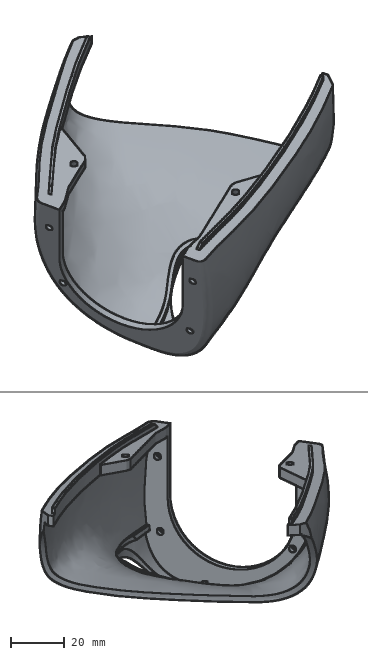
import cadquery as cq
import math

total_length = 102.9
tongue_height = 2.0
far = 154.8

headroom = 1.0
wall = 2.5
rim_width = 5.8
rim_depth = 4.2
tongue_width = 1.2
tongue_front = 5.4
tongue_ramp = 2.2
tongue_end_left = 79.1
tongue_end_right = 100.1

flange_thickness = 3.0
opening_radius = 25.8
opening_centre_z = -28.8
front_edge_round = 2.9
screw_hole_radius = 1.3
flange_holes = [(-30.1, -13.0), (29.9, -13.0), (-24.4, -43.0), (28.8, -43.3)]

pad_holes = [(-30.5, 22.5), (30.3, 36.5)]
pad_left = [(-25.8, 0), (-25.8, 4.6), (-27.4, 11.3), (-27.4, 26.0), (-28.5, 27.7), (-43.2, 36.7), (-56.7, 36.7)]
pad_right = [(25.8, 0), (25.8, 4.6), (27.4, 11.3), (27.4, 39.0), (28.3, 40.7), (35.8, 48.5), (51.6, 48.5)]

stations = [
    (0, 10.8, -64.5, (-35.6, -36.4, -9.8, 2.38), (34.0, 37.1, -28.9, 2.85)),
    (12.4, 9.3, -63.5, (-40.2, -41.6, -10.3, 2.1), (36.1, 39.2, -26.8, 2.7)),
    (25.8, 6.2, -58.5, (-45.6, -47.5, -10.3, 1.85), (39.1, 41.7, -24.8, 2.55)),
    (41.3, 2.1, -49.3, (-49.7, -52.3, -11.3, 2.0), (41.4, 43.6, -20.6, 2.5)),
    (61.9, -4.1, -39.4, (-54.4, -56.6, -11.3, 3.4), (42.8, 44.9, -16.5, 3.5)),
    (82.5, -4.1, -36.0, (-57.2, -59.2, -11.3, 4.2), (42.7, 44.6, -15.5, 5.0)),
    (105.2, -4.1, -34.3, (-59.1, -61.7, -11.3, 4.2), (40.2, 42.2, -15.5, 5.0)),
]

rear_edge = [(-77.4, 50.6), (-57.8, 62.2), (-49.0, 67.4), (-30.5, 74.9), (-7.0, 82.8), (11.1, 86.7), (35.6, 89.3), (61.9, 89.8)]
rear_arc_radius = 39.2
rear_arc_z = -35.1
tip_left = [(-59.0, 72.2), (-56.7, 76.4), (-54.0, 81.1)]
tip_right = [(44.4, 92.9), (43.3, 94.9), (40.7, 99.6), (37.0, total_length)]

window = [(7.9, 33.8), (10.3, 39.2), (16.5, 41.5), (25.8, 41.5), (33.0, 38.0), (35.9, 29.9),
          (36.3, 19.6), (32.5, 11.9), (26.3, 9.8), (19.1, 11.7), (11.8, 19.3)]
window_top = -39.2
lip_rise = 1.0
lip_top = -41.3
lip_edge = [(9.8, 0), (9.6, 8.3), (8.6, 20.6), (5.5, 31), (5.5, 36.6), (9.8, 41.9), (16.5, 43.5), (24.8, 43.5), (31.0, 40.8)]
panel_wall = 1.4
panel_top = -43.3
panel_edge = [(11.6, 0), (11.3, 8.3), (10.3, 20.6), (7.4, 31), (7.4, 36.1), (10.8, 40.2), (16.5, 41.5), (24.8, 41.5), (29.9, 39.2)]


def section(station, inset):
    """Closed wire of one cross-section, moved inwards by inset and carried up past the rim plane."""
    y, floor_x, floor_z, left, right = station

    def side_points(side, sign):
        rim_x, wide_x, wide_z, exponent = side
        rim_x = rim_x - sign * inset
        wide_x = wide_x - sign * inset
        points = []
        for level in (1.0, 0.5):
            points.append((wide_x + (rim_x - wide_x) * level**2, wide_z * (1 - level)))
        for step in range(6):
            angle = math.radians(15 * step)
            across = math.cos(angle) ** (2 / exponent)
            down = math.sin(angle) ** (2 / exponent)
            points.append((
                floor_x + (wide_x - floor_x) * across,
                wide_z + (floor_z + inset - wide_z) * down,
            ))
        return points

    outline = side_points(left, -1) + [(floor_x, floor_z + inset)] + side_points(right, 1)[::-1]
    curve = cq.Edge.makeSpline([cq.Vector(x, y, z) for x, z in outline])
    start, end = curve.startPoint(), curve.endPoint()
    above = cq.Vector(0, 0, headroom + inset)
    corners = [end, end + above, start + above, start]
    lines = [cq.Edge.makeLine(a, b) for a, b in zip(corners, corners[1:])]
    return cq.Wire.assembleEdges([curve] + lines)


def shell_solid(inset):
    return cq.Workplane(cq.Solid.makeLoft([section(s, inset) for s in stations]))


def block(x0, x1, y0, y1, z0, z1):
    return cq.Workplane().box(x1 - x0, y1 - y0, z1 - z0, centered=False).translate((x0, y0, z0))


def prism(points, z0, z1):
    return cq.Workplane().workplane(offset=z0).polyline(points).close().extrude(z1 - z0)


def window_zone(edge, top):
    """Lower right corner of the part, bounded by a plan curve on its left and rear."""
    plan = cq.Workplane().workplane(offset=-far).moveTo(*edge[0]).spline(edge[1:], includeCurrent=True)
    return plan.lineTo(far, edge[-1][1]).lineTo(far, 0).close().extrude(top + far)


def rim_band(side, inset, z0, z1):
    """Everything outside the rim line moved inwards by inset, on one side (-1 left, 1 right)."""
    rims = [((s[3] if side < 0 else s[4])[0] - side * inset, s[0]) for s in stations]
    start, end = rims[0], rims[-1]
    plan = cq.Workplane().workplane(offset=z0).moveTo(*start).spline(rims[1:], includeCurrent=True)
    return plan.lineTo(side * far, end[1]).lineTo(side * far, start[1]).close().extrude(z1 - z0)


def tongue(side, end_y):
    strip = rim_band(side, rim_width, 0, tongue_height).cut(
        rim_band(side, rim_width - tongue_width, 0, tongue_height)
    )
    ramp = (
        cq.Workplane("YZ").polyline([
            (tongue_front, 0),
            (tongue_front + tongue_ramp, tongue_height),
            (end_y, tongue_height),
            (end_y, 0),
        ]).close().extrude(far, both=True)
    )
    return strip.intersect(ramp)


def rear_outline(z):
    """Closed wire at height z around everything behind the rear edge."""
    back = rear_arc_radius - math.sqrt(rear_arc_radius**2 - (z - rear_arc_z) ** 2)
    curve = cq.Edge.makeSpline([cq.Vector(x, y + back, z) for x, y in rear_edge])
    start, end = curve.startPoint(), curve.endPoint()
    corners = [end, cq.Vector(end.x, far, z), cq.Vector(start.x, far, z), start]
    lines = [cq.Edge.makeLine(a, b) for a, b in zip(corners, corners[1:])]
    return cq.Wire.assembleEdges([curve] + lines)


def rear_cutter():
    """Straight below the arc, swept back along it, then straight again beside the rim."""
    steps = 5
    heights = [rear_arc_z + (-rim_depth - rear_arc_z) * i / steps for i in range(steps + 1)]
    wires = [rear_outline(z) for z in heights]
    curved = cq.Workplane(cq.Solid.makeLoft(wires))
    below = cq.Solid.extrudeLinear(wires[0], [], cq.Vector(0, 0, -far))
    above = cq.Solid.extrudeLinear(wires[-1], [], cq.Vector(0, 0, far))
    return curved.union(cq.Workplane(below)).union(cq.Workplane(above))


cavity = shell_solid(wall)

lip = window_zone(lip_edge, lip_top).cut(shell_solid(wall + lip_rise), clean=False)
panel = window_zone(panel_edge, panel_top).intersect(shell_solid(panel_wall), clean=False)
cavity = cavity.cut(lip, clean=False).union(panel, clean=False)

cavity = cavity.intersect(block(-far, far, flange_thickness, far, -far, far), clean=False)
for side, pad in ((-1, pad_left), (1, pad_right)):
    cavity = cavity.cut(rim_band(side, rim_width, -rim_depth, far), clean=False)
    cavity = cavity.cut(prism(pad + [(pad[-1][0], 0)], -rim_depth, far), clean=False)

body = shell_solid(0).cut(block(-far, far, -far, far, 0, far), clean=False).cut(cavity, clean=False)
body = body.faces("<Y").edges(cq.selectors.LengthNthSelector(-1)).fillet(front_edge_round)

opening = (
    cq.Workplane("XZ").moveTo(-opening_radius, far).lineTo(-opening_radius, opening_centre_z)
    .threePointArc((0, opening_centre_z - opening_radius), (opening_radius, opening_centre_z))
    .lineTo(opening_radius, far).close().extrude(-flange_thickness)
)

tongues = [tongue(-1, tongue_end_left), tongue(1, tongue_end_right)]

left_bevel = prism(tip_left + [(-far, tip_left[-1][1]), (-far, tip_left[0][1])], -far, far)
right_bevel = prism(tip_right + [(0, total_length), (0, far), (far, far), (far, tip_right[0][1])], -far, far)

flange_drills = cq.Workplane("XZ").pushPoints(flange_holes).circle(screw_hole_radius).extrude(-flange_thickness)
pad_drills = cq.Workplane().pushPoints(pad_holes).circle(screw_hole_radius).extrude(-rim_depth)

window_plan = cq.Workplane().workplane(offset=-far).spline(window, periodic=True).close()
window_cut = window_plan.extrude(window_top + far)

cutters = [opening, rear_cutter(), left_bevel, right_bevel, flange_drills, pad_drills, window_cut]
solid = body.val().fuse(*[part.val() for part in tongues])
result = cq.Workplane(solid.cut(*[cutter.val() for cutter in cutters]).Solids()[0])